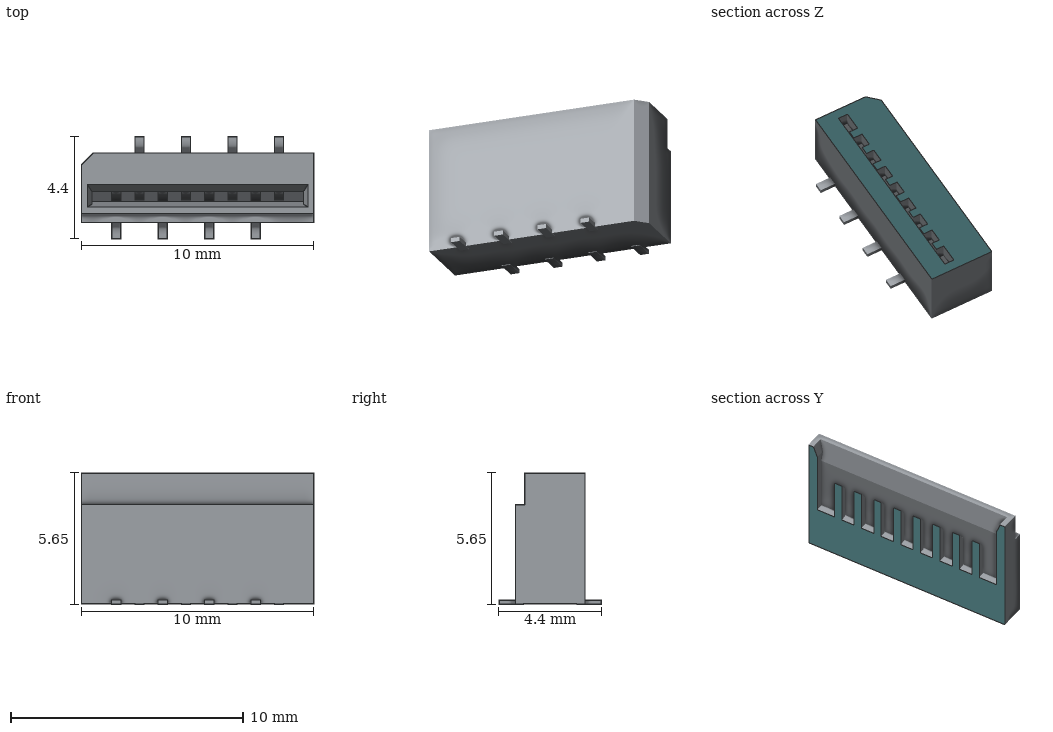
import cadquery as cq
import math

length = 10.0
depth = 3.0
total_height = 5.65
standoff = 0.03
corner_chamfer = 0.5
step_depth = 0.4
step_height = 1.35

mouth_length = 9.5
mouth_back = 0.14
mouth_front = -0.83
lead_in_height = 0.5
end_taper = 0.2
back_taper = 0.3
front_taper = 0.24
front_taper_height = 0.96
slot_depth = 3.5

contact_count = 8
pitch = 1.0
contact_width = 0.4
foot_tip = 2.2
foot_length = 1.05
foot_thickness = 0.19
shoulder_drop = 1.5
shoulder_run = 0.06
shoulder_angle = 60.0
leaf_angle = 34.5
bend_radius = 0.27
long_reach = 0.41
short_reach = 0.36
toe_run = 0.04

slot_floor = total_height - slot_depth
slot_length = mouth_length - 2 * end_taper
slot_back = mouth_back - back_taper
slot_front = mouth_front + front_taper


def make_housing():
    body = (
        cq.Workplane("XY")
        .box(length, depth, total_height - standoff, centered=(True, True, False))
        .translate((0, 0, standoff))
        .edges("|Z and <X and >Y")
        .chamfer(corner_chamfer)
    )
    step = (
        cq.Workplane("XY")
        .box(length, step_depth, step_height, centered=(True, False, False))
        .translate((0, -depth / 2, total_height - step_height))
    )
    return body.cut(step)


def make_slot():
    lead_in_floor = total_height - lead_in_height
    cross = (
        cq.Workplane("YZ")
        .moveTo(mouth_front, total_height)
        .lineTo(mouth_back, total_height)
        .lineTo(slot_back, lead_in_floor)
        .lineTo(slot_back, slot_floor)
        .lineTo(slot_front, slot_floor)
        .lineTo(slot_front, total_height - front_taper_height)
        .close()
        .extrude(mouth_length / 2, both=True)
    )
    ends = (
        cq.Workplane("XZ")
        .moveTo(-mouth_length / 2, total_height)
        .lineTo(mouth_length / 2, total_height)
        .lineTo(slot_length / 2, lead_in_floor)
        .lineTo(slot_length / 2, slot_floor)
        .lineTo(-slot_length / 2, slot_floor)
        .lineTo(-slot_length / 2, lead_in_floor)
        .close()
        .extrude(depth, both=True)
    )
    return cross.intersect(ends)


def make_foot(x, side):
    middle = side * (foot_tip - foot_length / 2)
    return (
        cq.Workplane("XY")
        .box(contact_width, foot_length, foot_thickness, centered=(True, True, False))
        .translate((x, middle, 0))
    )


def bend_offset(angle):
    slope = math.radians(angle)
    return -bend_radius * math.cos(slope), bend_radius * math.sin(slope)


def make_contact(x, reach, toe):
    shoulder_slope = math.tan(math.radians(shoulder_angle))
    leaf_slope = math.tan(math.radians(leaf_angle))
    start_y, start_z = bend_offset(shoulder_angle)
    middle_y, middle_z = bend_offset((shoulder_angle + leaf_angle) / 2)
    end_y, end_z = bend_offset(leaf_angle)

    top = total_height - shoulder_drop
    centre_y = slot_back - shoulder_run - start_y
    centre_z = top - shoulder_run / shoulder_slope - start_z
    tip_y = slot_back - reach
    leaf_end_y = tip_y + toe
    leaf_end_z = centre_z + end_z - (centre_y + end_y - leaf_end_y) / leaf_slope

    profile = (
        cq.Workplane("YZ", origin=(x - contact_width / 2, 0, 0))
        .moveTo(slot_back, top)
        .lineTo(centre_y + start_y, centre_z + start_z)
        .threePointArc(
            (centre_y + middle_y, centre_z + middle_z),
            (centre_y + end_y, centre_z + end_z),
        )
        .lineTo(leaf_end_y, leaf_end_z)
    )
    if toe > 0:
        profile = profile.lineTo(tip_y, leaf_end_z - toe / shoulder_slope)
    return (
        profile.lineTo(tip_y, slot_floor)
        .lineTo(slot_back, slot_floor)
        .close()
        .extrude(contact_width)
    )


result = make_housing().cut(make_slot())
for index in range(contact_count):
    x = (index - (contact_count - 1) / 2) * pitch
    if index % 2 == 0:
        foot = make_foot(x, -1)
        contact = make_contact(x, long_reach, 0)
    else:
        foot = make_foot(x, 1)
        contact = make_contact(x, short_reach, toe_run)
    result = result.union(foot).union(contact)